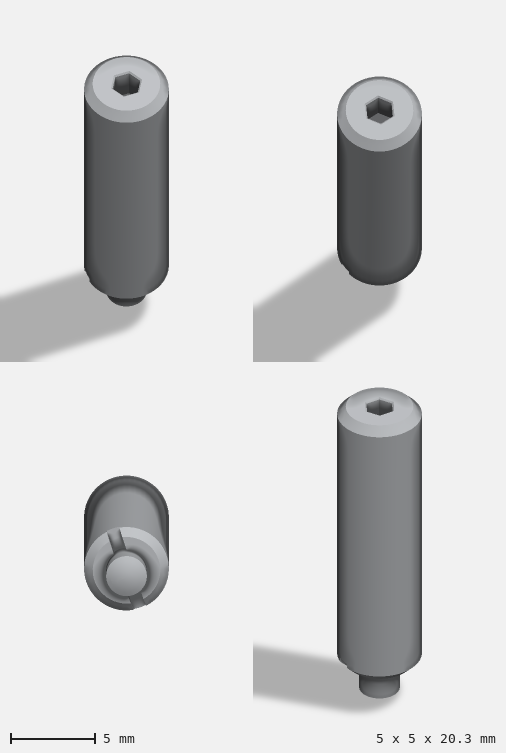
import cadquery as cq
import math

total_length = 20.3
body_diameter = 5.0
body_chamfer = 0.5
pin_diameter = 2.4
pin_length = 2.3
dome_height = 0.37
slot_width = 0.8
slot_depth = 0.8
hex_across_flats = 1.5
hex_depth = 2.0
hex_chamfer = 0.091

body_radius = body_diameter / 2
pin_radius = pin_diameter / 2
slot_top = pin_length + slot_depth


def make_body():
    """Upright cylinder chamfered at both ends."""
    return (
        cq.Workplane("XY", origin=(0, 0, pin_length))
        .circle(body_radius)
        .extrude(total_length - pin_length)
        .faces("<Z or >Z")
        .chamfer(body_chamfer)
    )


def make_slot():
    """Driver slot across the lower end face, running along Y."""
    return (
        cq.Workplane("XY", origin=(0, 0, pin_length))
        .rect(slot_width, body_diameter)
        .extrude(slot_depth)
    )


def make_pin():
    """Pin with a spherical tip, reaching up to the slot floor."""
    dome_radius = (pin_radius**2 + dome_height**2) / (2 * dome_height)
    half_angle = math.asin(pin_radius / dome_radius) / 2
    dome_mid = (
        dome_radius * math.sin(half_angle),
        dome_radius * (1 - math.cos(half_angle)),
    )
    return (
        cq.Workplane("XZ")
        .moveTo(0, 0)
        .threePointArc(dome_mid, (pin_radius, dome_height))
        .lineTo(pin_radius, slot_top)
        .lineTo(0, slot_top)
        .close()
        .revolve(360, (0, 0), (0, 1))
    )


def hexagon(across_flats, height):
    """Hexagonal sketch with two corners on the Y axis."""
    corner_diameter = across_flats / math.cos(math.pi / 6)
    return (
        cq.Workplane("XY", origin=(0, 0, height))
        .transformed(rotate=(0, 0, 90))
        .polygon(6, corner_diameter)
    )


def make_socket():
    """Hex socket in the top face with a 45 degree bevelled mouth."""
    straight = hexagon(hex_across_flats, total_length).extrude(-hex_depth)
    mouth = hexagon(hex_across_flats + 2 * hex_chamfer, total_length).extrude(-hex_chamfer, taper=45)
    return straight.union(mouth)


result = make_body().cut(make_slot()).union(make_pin()).cut(make_socket())